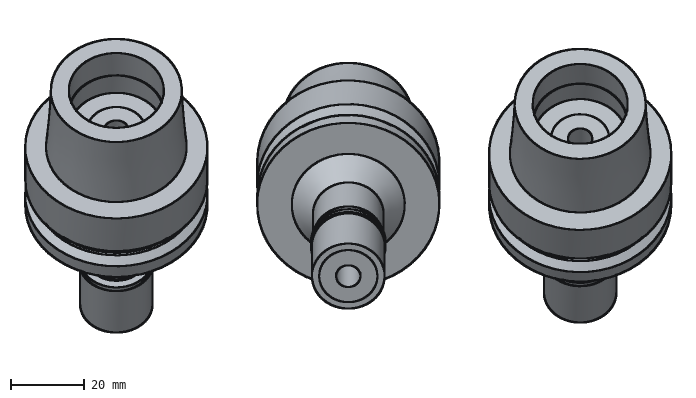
import cadquery as cq

total_height = 95.0
flange_radius = 25.0
flange_bottom = 44.0
flange_top = 70.0

taper_top_radius = 18.0
taper_base_radius = 19.3
taper_hollow = 0.2

groove_radius = 21.7
groove_floor_bottom = 50.4
groove_floor_top = 54.0
groove_step_radius = 22.5
groove_lower_edge = 48.7
groove_upper_edge = 55.5

cone_radius = 15.5
shank_radius = 9.7
shank_top = 38.1
shank_bottom = 23.4

bore_radius = 13.0
bore_depth = 9.9
inner_bore_radius = 12.9
bore_floor = total_height - 17.6

tube_radius = 8.0
tube_hole_radius = 3.3

sleeve_radius = 10.0
collar_radius = 10.3
collar_top = 20.5
collar_bottom = 18.8
collar_chamfer = collar_radius - sleeve_radius


def cylinder(radius, bottom, top):
    """Upright cylinder on the Z axis between two heights."""
    return cq.Workplane("XY").workplane(offset=bottom).circle(radius).extrude(top - bottom)


def make_holder():
    """Tapered tool holder with grooved flange, stepped bore and a seat for the tube."""
    taper_middle = (
        (taper_top_radius + taper_base_radius) / 2 - taper_hollow,
        (flange_top + total_height) / 2,
    )
    outer = (
        cq.Workplane("XZ")
        .moveTo(0, shank_bottom)
        .lineTo(shank_radius, shank_bottom)
        .lineTo(shank_radius, shank_top)
        .lineTo(cone_radius, flange_bottom)
        .lineTo(flange_radius, flange_bottom)
        .lineTo(flange_radius, groove_lower_edge)
        .lineTo(groove_step_radius, groove_floor_bottom)
        .lineTo(groove_radius, groove_floor_bottom)
        .lineTo(groove_radius, groove_floor_top)
        .lineTo(groove_step_radius, groove_floor_top)
        .lineTo(flange_radius, groove_upper_edge)
        .lineTo(flange_radius, flange_top)
        .lineTo(taper_base_radius, flange_top)
        .threePointArc(taper_middle, (taper_top_radius, total_height))
        .lineTo(0, total_height)
        .close()
        .revolve(360, (0, 0, 0), (0, 1, 0))
    )
    bore = cylinder(bore_radius, total_height - bore_depth, total_height)
    inner_bore = cylinder(inner_bore_radius, bore_floor, total_height)
    tube_seat = cylinder(tube_radius, shank_bottom, bore_floor)
    return outer.cut(bore).cut(inner_bore).cut(tube_seat)


def make_tube():
    """Plain tube from the lower end up to the bore floor."""
    hole = cylinder(tube_hole_radius, 0, bore_floor)
    return cylinder(tube_radius, 0, bore_floor).cut(hole)


def make_sleeve():
    """Sleeve around the lower end of the tube, its collar chamfered underneath."""
    outer = (
        cq.Workplane("XZ")
        .lineTo(sleeve_radius, 0)
        .lineTo(sleeve_radius, collar_bottom - collar_chamfer)
        .lineTo(collar_radius, collar_bottom)
        .lineTo(collar_radius, collar_top)
        .lineTo(0, collar_top)
        .close()
        .revolve(360, (0, 0, 0), (0, 1, 0))
    )
    return outer.cut(cylinder(tube_radius, 0, collar_top))


holder = make_holder()
tube = make_tube()
sleeve = make_sleeve()

result = cq.Compound.makeCompound([holder.val(), tube.val(), sleeve.val()])